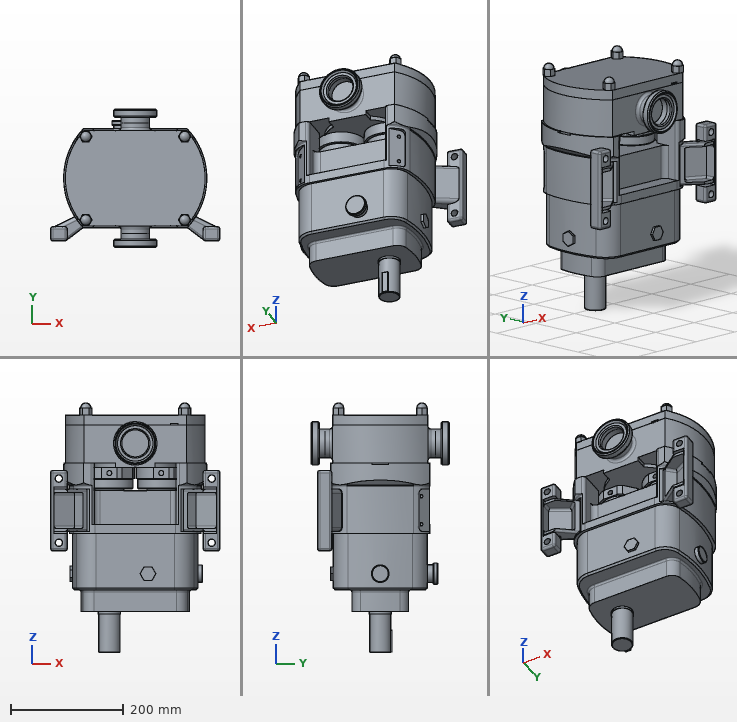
import cadquery as cq
import math


total_height = 445.5
cover_top = 423.7
cover_bottom = 406.0
head_bottom = 338.0
spigot_bottom = 330.5
gland_step = 310.5
gland_bottom = 292.5
deck_level = 289.0
flange_underside = 298.0
window_floor = 228.5
frame_bottom = 212.0
case_bottom = 112.0
nose_bottom = 73.0

head_radius = 124.8
head_half_depth = 85.0
spigot_radius = 73.0
boss_width = 71.5
pry_slot_size = (13.5, 2.2, 2.5)
pry_slot_x = 69.5

shaft_spacing = 92.5
gland_radius = 45.0
gland_flat_distance = 42.8
gland_flat_angles = (0, 49)
gland_ring_radius = 42.5
gland_chamfer = 2.0
gland_neck_radius = 26.0
flush_hole_radius = 4.5
flush_hole_depth = 9.0
flush_hole_z = 320.5

port_z = 373.5
port_reach = 123.5
port_flange_radius = 38.8
port_flange_thickness = 14.5
port_rim_chamfer = 2.2
port_neck_radius = 26.0
port_root_round = 5.5
port_root_depth = 4.5
port_bore_radius = 24.0
port_bore_chamfer = 2.2
port_seat_radius = 31.5
port_mouth_radius = 34.8
port_seat_depth = 3.5
port_bore_depth = 25.0

nut_pitch_x = 176.5
nut_pitch_y = 149.0
nut_corner_diameter = 22.5
dome_radius = 9.5

flange_radius = 128.0
flange_flare_height = 13.5
flange_root_round = 2.5
frame_half_depth = 88.5
frame_half_width = 118.0
frame_side_radius = 224.5
frame_corner_radius = 39.5
case_half_depth = 84.0
case_half_width = 112.5
case_side_radius = 219.5
case_corner_radius = 36.0
case_rim_chamfer = 3.5
nose_half_depth = 51.0
nose_half_width = 97.0
nose_side_radius = 160.5
nose_corner_radius = 19.5
nose_root_round = 3.5

flange_notch_width = 29.5
flange_notch_depth = 2.5

window_half_width = 73.0
window_depth = 31.0
window_corner_radius = 10.0
window_edge_round = 6.2
gland_clearance_radius = 46.5

pad_top = 292.0
pad_bottom = 216.0
pad_reach = 119.5
pad_inner_end = 26.5
pad_corner_radius = 8.5
pad_hole_radius = 3.0
pad_hole_depth = 13.5
pad_hole_levels = (229.0, 279.0)
pad_hole_offset = 15.0

plug_z = 141.0
plug_x = 22.7
plug_corner_diameter = 28.0
plug_height = 4.5
fitting_root = 9.0
gauge_radius = 15.5
gauge_height = 8.0
filler_neck_radius = 16.0
filler_head_radius = 19.0
filler_neck_height = 10.2
filler_head_height = 8.5
fitting_chamfer = 1.5

foot_outer_x = 151.0
foot_width = 30.0
foot_front_y = -112.0
foot_back_y = -86.5
foot_top = 325.3
foot_bottom = 181.5
foot_edge_round = 4.5
foot_hole_radius = 6.2
foot_hole_inset = 14.5
foot_lip = 6.2
bar_notch_top = 296.0
bar_notch_bottom = 212.0
arm_back_y = -66.0
arm_front_y = -83.0
arm_front_end_y = -109.5
arm_front_round = 3.5
arm_back_round = 7.5
web_y = -92.2
web_corner = (-108.5, -72.0)
lip_x = foot_lip - foot_outer_x
inner_x = foot_width - foot_outer_x
pocket_top = 286.0
pocket_bottom = 221.5
pocket_round = 4.5

shaft_radius = 19.0
collar_radius = 20.0
collar_height = 4.0
shaft_end_chamfer = 1.5
key_width = 10.5
key_top = 40.0
key_bottom = 1.0
key_reach = 21.5


def cylinder_z(x, y, radius, bottom, top):
    return cq.Workplane("XY", origin=(x, y, bottom)).circle(radius).extrude(top - bottom)


def block(x_range, y_range, z_range):
    size = [high - low for low, high in (x_range, y_range, z_range)]
    corner = (x_range[0], y_range[0], z_range[0])
    return cq.Workplane("XY").box(*size, centered=False).translate(corner)


def edges_at_level(level, half_width, half_depth):
    """Selects the edges at a level whose centres lie inside a rectangle around the Z axis."""
    margin = 0.5
    return cq.selectors.BoxSelector(
        (-half_width - margin, -half_depth - margin, level - margin),
        (half_width + margin, half_depth + margin, level + margin),
    )


def round_sided_prism(radius, half_depth, bottom, top):
    """A disc with its front and back cut flat."""
    disc = cylinder_z(0, 0, radius, bottom, top)
    return disc.intersect(block((-radius, radius), (-half_depth, half_depth), (bottom, top)))


def bowed_outline(half_width, half_depth, side_radius, corner_radius, level):
    """A closed outline with flat front and back, bowed sides and tangent round corners."""
    side_centre = half_width - side_radius
    corner_y = half_depth - corner_radius
    swing = math.asin(corner_y / (side_radius - corner_radius))
    corner_x = side_centre + (side_radius - corner_radius) * math.cos(swing)
    mid_angle = (swing + math.pi / 2) / 2
    side_x = side_centre + side_radius * math.cos(swing)
    side_y = side_radius * math.sin(swing)
    bend_x = corner_x + corner_radius * math.cos(mid_angle)
    bend_y = corner_y + corner_radius * math.sin(mid_angle)
    return (
        cq.Workplane("XY", origin=(0, 0, level))
        .moveTo(side_x, -side_y)
        .threePointArc((half_width, 0), (side_x, side_y))
        .threePointArc((bend_x, bend_y), (corner_x, half_depth))
        .lineTo(-corner_x, half_depth)
        .threePointArc((-bend_x, bend_y), (-side_x, side_y))
        .threePointArc((-half_width, 0), (-side_x, -side_y))
        .threePointArc((-bend_x, -bend_y), (-corner_x, -half_depth))
        .lineTo(corner_x, -half_depth)
        .threePointArc((bend_x, -bend_y), (side_x, -side_y))
        .close()
    )


def frame_outline(level):
    return bowed_outline(frame_half_width, frame_half_depth, frame_side_radius, frame_corner_radius, level)


def place_port(profile):
    """Revolves a (radius, distance) profile about the port axis, towards +Y."""
    return profile.close().revolve(360, (0, 0, 0), (0, 1, 0)).translate((0, 0, port_z))


def port_body():
    flange_back = port_reach - port_flange_thickness
    rim = port_flange_radius - port_rim_chamfer
    root = port_neck_radius + port_root_round
    return place_port(
        cq.Workplane("XY")
        .moveTo(0, head_half_depth - port_root_depth)
        .lineTo(root, head_half_depth - port_root_depth)
        .lineTo(root, head_half_depth)
        .radiusArc((port_neck_radius, head_half_depth + port_root_round), port_root_round)
        .lineTo(port_neck_radius, flange_back)
        .lineTo(rim, flange_back)
        .lineTo(port_flange_radius, flange_back + port_rim_chamfer)
        .lineTo(port_flange_radius, port_reach - port_rim_chamfer)
        .lineTo(rim, port_reach)
        .lineTo(0, port_reach)
    )


def port_bore():
    """A blind bore opening into a shallow conical gasket seat."""
    seat = port_reach - port_seat_depth
    return place_port(
        cq.Workplane("XY")
        .moveTo(0, port_reach - port_bore_depth)
        .lineTo(port_bore_radius, port_reach - port_bore_depth)
        .lineTo(port_bore_radius, seat - port_bore_chamfer)
        .lineTo(port_bore_radius + port_bore_chamfer, seat)
        .lineTo(port_seat_radius, seat)
        .lineTo(port_mouth_radius, port_reach)
        .lineTo(0, port_reach)
    )


def seal_gland(x):
    """A flatted collar above a plain ring, with a flush hole in its front flat."""
    collar = cylinder_z(0, 0, gland_radius, gland_step, spigot_bottom)
    for angle in gland_flat_angles:
        outside = block(
            (-gland_radius, gland_radius),
            (-2 * gland_radius, -gland_flat_distance),
            (gland_step, spigot_bottom),
        )
        collar = collar.cut(outside.rotate((0, 0, 0), (0, 0, 1), angle))
    flush_hole = (
        cq.Workplane("XZ", origin=(0, -gland_flat_distance, flush_hole_z))
        .circle(flush_hole_radius)
        .extrude(-flush_hole_depth)
    )
    ring = cylinder_z(0, 0, gland_ring_radius, gland_bottom, gland_step).edges().chamfer(gland_chamfer)
    neck = cylinder_z(0, 0, gland_neck_radius, deck_level, gland_bottom)
    return collar.cut(flush_hole).union(ring).union(neck).translate((x, 0, 0))


def make_rotor_case():
    case = round_sided_prism(head_radius, head_half_depth, head_bottom, cover_bottom)
    case = case.union(cylinder_z(0, 0, spigot_radius, spigot_bottom, head_bottom))
    case = case.union(block(
        (-boss_width / 2, boss_width / 2),
        (-head_half_depth, head_half_depth),
        (spigot_bottom, head_bottom),
    ))
    for angle in (0, 180):
        case = case.union(port_body().rotate((0, 0, 0), (0, 0, 1), angle))
        case = case.cut(port_bore().rotate((0, 0, 0), (0, 0, 1), angle))
    for x in (-shaft_spacing / 2, shaft_spacing / 2):
        case = case.union(seal_gland(x))
    return case


def dome_nut(x, y):
    dome_centre = total_height - dome_radius
    hexagon = cq.Workplane("XY", origin=(x, y, cover_top)).polygon(6, nut_corner_diameter)
    dome = cq.Workplane("XY").sphere(dome_radius).translate((x, y, dome_centre))
    return hexagon.extrude(dome_centre - cover_top).union(dome)


def make_cover():
    cover = round_sided_prism(head_radius, head_half_depth, cover_bottom, cover_top)
    pry_slot = cq.Workplane("XY").box(*pry_slot_size, centered=(True, False, False))
    cover = cover.cut(pry_slot.translate((pry_slot_x, -head_half_depth, cover_bottom)))
    for x in (-nut_pitch_x / 2, nut_pitch_x / 2):
        for y in (-nut_pitch_y / 2, nut_pitch_y / 2):
            cover = cover.union(dome_nut(x, y))
    return cover


def frame_block():
    """The frame, flaring at 45 degrees under its round-sided top flange."""
    frame = frame_outline(frame_bottom).extrude(flange_underside - frame_bottom)
    flare_top = flange_underside + flange_flare_height
    flare = frame_outline(flange_underside).extrude(flange_flare_height, taper=-45)
    rim = cylinder_z(0, 0, flange_radius, flare_top, head_bottom)
    flange = round_sided_prism(flange_radius, frame_half_depth, flange_underside, head_bottom)
    frame = frame.union(flange.intersect(flare.union(rim)))
    root_edges = edges_at_level(flange_underside, frame_half_width, frame_half_depth)
    return frame.edges(root_edges).fillet(flange_root_round)


def window_recess():
    """The front recess below the seal glands, with rounded inner corners and outer edges."""
    wall_y = window_depth - frame_half_depth
    recess = block(
        (-window_half_width, window_half_width),
        (-2 * frame_half_depth, wall_y),
        (window_floor, head_bottom),
    )
    recess = recess.edges("|Z and >Y").fillet(window_corner_radius)
    round_y = window_edge_round - frame_half_depth
    mouth_half_width = window_half_width + window_edge_round
    mouth = block(
        (-mouth_half_width, mouth_half_width),
        (-2 * frame_half_depth, round_y),
        (window_floor, head_bottom),
    )
    for side in (-1, 1):
        mouth = mouth.cut(cylinder_z(
            side * mouth_half_width, round_y, window_edge_round, window_floor, head_bottom,
        ))
    return recess.union(mouth)


def pad_pocket():
    """The mounting pad cut across the (+X, +Y) corner, with its two tapped holes."""
    beyond = 44.5
    pad = block((pad_reach, pad_reach + beyond), (-pad_inner_end, beyond), (pad_bottom, pad_top))
    pad = pad.edges("|X and <Y").fillet(pad_corner_radius)
    for level in pad_hole_levels:
        hole = (
            cq.Workplane("YZ", origin=(pad_reach, -pad_hole_offset, level))
            .circle(pad_hole_radius)
            .extrude(-pad_hole_depth)
        )
        pad = pad.union(hole)
    return pad.rotate((0, 0, 0), (0, 0, 1), 45)


def hexagon_plug():
    """A plug head standing on the YZ plane, pointing towards +X."""
    hexagon = cq.Workplane("YZ", origin=(-fitting_root, 0, 0)).polygon(6, plug_corner_diameter)
    return hexagon.extrude(fitting_root + plug_height)


def oil_gauge():
    """A round glass standing on the YZ plane, pointing towards +X."""
    gauge = cq.Workplane("YZ", origin=(-fitting_root, 0, 0)).circle(gauge_radius)
    return gauge.extrude(fitting_root + gauge_height).faces(">X").chamfer(fitting_chamfer)


def filler():
    """A round neck and collar standing on the YZ plane, pointing towards +X."""
    neck = cq.Workplane("YZ").circle(filler_neck_radius).extrude(filler_neck_height)
    collar = cq.Workplane("YZ", origin=(filler_neck_height, 0, 0)).circle(filler_head_radius)
    return neck.union(collar.extrude(filler_head_height).edges().chamfer(fitting_chamfer))


def case_outline(level):
    return bowed_outline(case_half_width, case_half_depth, case_side_radius, case_corner_radius, level)


def nose_outline(level):
    return bowed_outline(nose_half_width, nose_half_depth, nose_side_radius, nose_corner_radius, level)


def gear_case():
    """The gear case with its nose, plugs, oil gauge and filler."""
    case = case_outline(case_bottom).extrude(frame_bottom - case_bottom).faces("<Z").chamfer(case_rim_chamfer)
    case = case.union(nose_outline(nose_bottom).extrude(case_bottom - nose_bottom))
    case = case.edges(edges_at_level(case_bottom, nose_half_width, nose_half_depth)).fillet(nose_root_round)

    z_axis = ((0, 0, 0), (0, 0, 1))
    front_plug = hexagon_plug().rotate(*z_axis, -90)
    case = case.union(front_plug.translate((plug_x, -case_half_depth, plug_z)))
    side_plug = hexagon_plug().rotate((0, 0, 0), (1, 0, 0), 90).rotate(*z_axis, 180)
    case = case.union(side_plug.translate((-case_half_width, 0, plug_z)))
    case = case.union(oil_gauge().translate((case_half_width, 0, plug_z)))
    back_filler = filler().rotate(*z_axis, 90)
    return case.union(back_filler.translate((-plug_x, case_half_depth, plug_z)))


def drive_shaft():
    x = -shaft_spacing / 2
    shaft = cylinder_z(x, 0, shaft_radius, 0, nose_bottom).faces("<Z").chamfer(shaft_end_chamfer)
    collar = cylinder_z(x, 0, collar_radius, nose_bottom - collar_height, nose_bottom)
    key = block((x - key_width / 2, x + key_width / 2), (0, key_reach), (key_bottom, key_top))
    return shaft.union(collar).union(key)


def make_gearbox():
    frame = frame_block()
    opening = block(
        (-window_half_width, window_half_width),
        (-frame_half_depth, frame_half_depth),
        (deck_level, head_bottom),
    )
    frame = frame.cut(opening)
    for x in (-shaft_spacing / 2, shaft_spacing / 2):
        frame = frame.cut(cylinder_z(x, 0, gland_clearance_radius, deck_level, head_bottom))
    for angle in (0, 180):
        frame = frame.cut(window_recess().rotate((0, 0, 0), (0, 0, 1), angle))
    back_pads = pad_pocket().union(pad_pocket().mirror("YZ"))
    frame = frame.cut(back_pads).cut(back_pads.mirror("XZ"))
    notch_floor = head_bottom - flange_notch_depth
    frame = frame.cut(block(
        (-flange_radius, flange_radius),
        (-flange_notch_width / 2, flange_notch_width / 2),
        (notch_floor, head_bottom),
    ))
    return frame.union(gear_case()).union(drive_shaft())


def foot_bar():
    """An upright bar with two bolt holes, notched at its middle to leave an outer lip."""
    bar = block((-foot_outer_x, inner_x), (foot_front_y, foot_back_y), (foot_bottom, foot_top))
    bar = bar.edges().fillet(foot_edge_round)
    bar = bar.cut(block((lip_x, inner_x), (foot_front_y, web_y), (bar_notch_bottom, bar_notch_top)))
    for level in (foot_bottom + foot_hole_inset, foot_top - foot_hole_inset):
        hole = cq.Workplane("XZ", origin=(foot_hole_inset - foot_outer_x, 0, level))
        bar = bar.cut(hole.circle(foot_hole_radius).extrude(-foot_front_y))
    return bar


def foot_arm():
    """A solid diagonal arm from the bar to the pad."""
    pad_sum = -pad_reach * math.sqrt(2)
    back_start = (lip_x, foot_back_y)
    back_end = (pad_sum - arm_back_y, arm_back_y)
    front_start = (pad_sum - arm_front_y, arm_front_y)
    front_end = (inner_x, arm_front_end_y)
    outline = [back_start, back_end, front_start, front_end, (lip_x, arm_front_end_y)]
    arm = cq.Workplane("XY", origin=(0, 0, pad_bottom)).polyline(outline).close()
    arm = arm.extrude(pad_top - pad_bottom)
    rounded_edges = ((back_start, back_end, arm_back_round), (front_start, front_end, arm_front_round))
    for level in (pad_bottom, pad_top):
        for start, end, radius in rounded_edges:
            middle = ((start[0] + end[0]) / 2, (start[1] + end[1]) / 2, level)
            arm = arm.edges(cq.selectors.NearestToPointSelector(middle)).fillet(radius)
    return arm


def foot_pocket():
    """The hollow between lip and pad; its inner wall runs parallel to the pad until clear of the arm."""
    wall_run = 35.5
    wall_end = (web_corner[0] + wall_run, web_corner[1] - wall_run)
    open_y = 2 * foot_front_y
    return (
        cq.Workplane("XY", origin=(0, 0, pocket_bottom))
        .polyline([(lip_x, web_y), web_corner, wall_end, (wall_end[0], open_y), (lip_x, open_y)])
        .close()
        .extrude(pocket_top - pocket_bottom)
        .faces("<Z or >Z")
        .edges()
        .fillet(pocket_round)
    )


def left_foot():
    return foot_bar().union(foot_arm()).cut(foot_pocket())


cover = make_cover()
rotor_case = make_rotor_case()
gearbox = make_gearbox()
foot = left_foot().cut(gearbox)
feet = [foot.val(), foot.mirror("YZ").val()]

result = cq.Compound.makeCompound([cover.val(), rotor_case.val(), gearbox.val(), *feet])